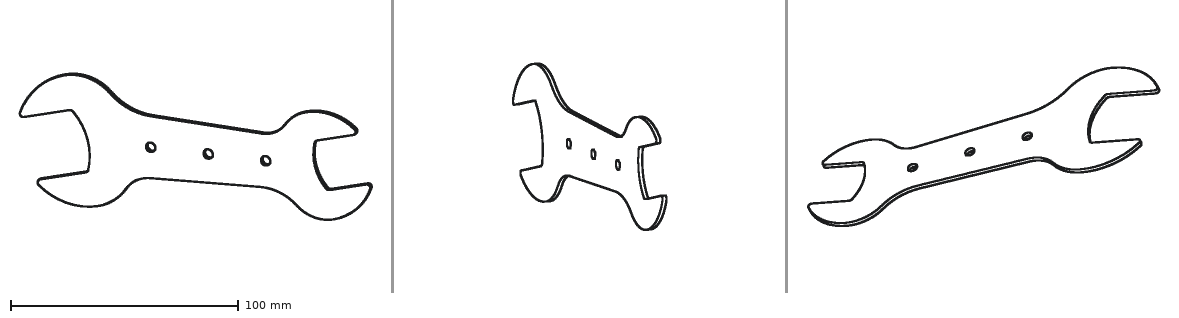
import cadquery as cq
import math

THICKNESS = 2.0
JAW_TILT = math.radians(15.0)

HOLE_DIAMETER = 4.3
HOLE_PITCH = 27.0
HOLE_COUNT = 3

SHANK_HALF_WIDTH = 13.375
SHANK_TAPER = math.radians(2.15)

SMALL_HEAD = {
    "turn": 0.0,
    "center": (52.35, 0.6),
    "head_radius": 25.0,
    "shoulder_radius": 18.0,
    "opening": 23.1,
    "throat_radius": 23.1,
    "throat_depth": 2.3,
    "upper_blend": 12.0,
    "lower_blend": 23.2,
    "edge_slope": -math.tan(SHANK_TAPER),
}
LARGE_HEAD = {
    "turn": math.pi,
    "center": (59.5, 0.75),
    "head_radius": 30.5,
    "shoulder_radius": 21.9,
    "opening": 29.1,
    "throat_radius": 29.1,
    "throat_depth": 2.95,
    "upper_blend": 14.7,
    "lower_blend": 28.4,
    "edge_slope": math.tan(SHANK_TAPER),
}

TIP_FILLET = 1.5
THROAT_FILLET = 1.8


def rotate(point, angle):
    x, z = point
    return (
        x * math.cos(angle) - z * math.sin(angle),
        x * math.sin(angle) + z * math.cos(angle),
    )


def toward(start, end, distance):
    """Point at the given distance from start on the ray through end."""
    reach = distance / math.dist(start, end)
    return (start[0] + (end[0] - start[0]) * reach, start[1] + (end[1] - start[1]) * reach)


def middle_of_arc(center, start, end):
    """Middle of the minor arc from start to end."""
    chord_middle = ((start[0] + end[0]) / 2, (start[1] + end[1]) / 2)
    return toward(center, chord_middle, math.dist(center, start))


def jaw_to_part(head, point):
    """Turn a point of the jaw frame (head centre, x out of the jaw) into part coordinates."""
    x, z = rotate(point, JAW_TILT)
    center_x, center_z = head["center"]
    return rotate((x + center_x, z + center_z), head["turn"])


def shank_side(head, side):
    """Shoulder arc and shank blend on one side of a head (+1 upper, -1 lower).

    Returns the points from the shank edge to the shoulder, in part coordinates.
    """
    blend_radius = head["upper_blend"] if side > 0 else head["lower_blend"]
    head_radius = head["head_radius"]
    shoulder_radius = head["shoulder_radius"]
    center_x, center_z = head["center"]
    offset_x, offset_z = rotate((0, side * (head_radius - shoulder_radius)), JAW_TILT)
    shoulder_center = (center_x + offset_x, center_z + offset_z)

    edge_angle = side * math.atan(head["edge_slope"])
    edge_offset = side * SHANK_HALF_WIDTH * math.cos(edge_angle)
    aligned_shoulder = rotate(shoulder_center, -edge_angle)
    aligned_z = edge_offset + side * blend_radius
    rise = aligned_z - aligned_shoulder[1]
    run = math.sqrt((blend_radius + shoulder_radius) ** 2 - rise**2)
    aligned_x = aligned_shoulder[0] - run
    blend_center = rotate((aligned_x, aligned_z), edge_angle)

    edge_end = rotate((aligned_x, edge_offset), edge_angle)
    blend_end = toward(shoulder_center, blend_center, shoulder_radius)
    jaw_x, jaw_z = rotate((0, side * head_radius), JAW_TILT)
    shoulder_end = (center_x + jaw_x, center_z + jaw_z)

    points = [
        edge_end,
        middle_of_arc(blend_center, edge_end, blend_end),
        blend_end,
        middle_of_arc(shoulder_center, blend_end, shoulder_end),
        shoulder_end,
    ]
    return [rotate(point, head["turn"]) for point in points]


def jaw_corner_positions(head):
    """Distances along the jaw axis of the throat corners and the jaw tips."""
    half_opening = head["opening"] / 2
    throat_center = head["throat_radius"] - head["throat_depth"]
    corner_x = throat_center - math.sqrt(head["throat_radius"] ** 2 - half_opening**2)
    tip_x = math.sqrt(head["head_radius"] ** 2 - half_opening**2)
    return corner_x, tip_x


def jaw_corners(head, along):
    """The lower and upper jaw corners at one distance along the jaw axis."""
    half_opening = head["opening"] / 2
    return [jaw_to_part(head, (along, side * half_opening)) for side in (-1, 1)]


def add_head(outline, head):
    """Continue the outline counter-clockwise around one head."""
    _, lower_blend_mid, lower_blend_end, lower_shoulder_mid, lower_shoulder_end = shank_side(head, -1)
    edge_end, blend_mid, blend_end, shoulder_mid, shoulder_end = shank_side(head, 1)

    corner_x, tip_x = jaw_corner_positions(head)
    lower_corner, upper_corner = jaw_corners(head, corner_x)
    lower_tip, upper_tip = jaw_corners(head, tip_x)
    throat_bottom = jaw_to_part(head, (-head["throat_depth"], 0))
    half_tip_angle = math.atan2(head["opening"] / 2, tip_x)
    side_angle = (math.pi / 2 + half_tip_angle) / 2
    lower_side_mid = jaw_to_part(head, rotate((head["head_radius"], 0), -side_angle))
    upper_side_mid = jaw_to_part(head, rotate((head["head_radius"], 0), side_angle))

    return (
        outline.threePointArc(lower_blend_mid, lower_blend_end)
        .threePointArc(lower_shoulder_mid, lower_shoulder_end)
        .threePointArc(lower_side_mid, lower_tip)
        .lineTo(*lower_corner)
        .threePointArc(throat_bottom, upper_corner)
        .lineTo(*upper_tip)
        .threePointArc(upper_side_mid, shoulder_end)
        .threePointArc(shoulder_mid, blend_end)
        .threePointArc(blend_mid, edge_end)
    )


def make_blank():
    outline = cq.Workplane("XZ").moveTo(*shank_side(SMALL_HEAD, -1)[0])
    outline = add_head(outline, SMALL_HEAD)
    outline = outline.lineTo(*shank_side(LARGE_HEAD, -1)[0])
    outline = add_head(outline, LARGE_HEAD)
    return outline.close().extrude(THICKNESS / 2, both=True)


def fillet_through_edges(body, corners, radius):
    """Round the edges that cross the thickness at the given corners."""
    for x, z in corners:
        edge = cq.selectors.NearestToPointSelector((x, 0, z))
        body = body.edges("|Y").edges(edge).fillet(radius)
    return body


def round_jaw(body, head):
    corner_x, tip_x = jaw_corner_positions(head)
    body = fillet_through_edges(body, jaw_corners(head, tip_x), TIP_FILLET)
    return fillet_through_edges(body, jaw_corners(head, corner_x), THROAT_FILLET)


def drill_holes(body):
    holes = (
        cq.Workplane("XZ")
        .rarray(HOLE_PITCH, 1, HOLE_COUNT, 1)
        .circle(HOLE_DIAMETER / 2)
        .extrude(THICKNESS, both=True)
    )
    return body.cut(holes)


result = make_blank()
for spanner_head in (SMALL_HEAD, LARGE_HEAD):
    result = round_jaw(result, spanner_head)
result = drill_holes(result)